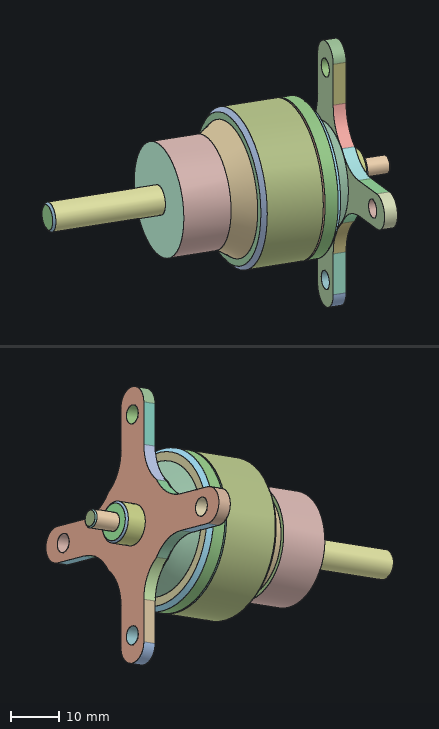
import cadquery as cq
import math


arm_count = 4
arm_reach = 29.31
arm_half_width = 3.9
arm_straight_start = 16.4
arm_flare_radius = 9.9
bracket_thickness = 3.0
mount_hole_radius = 2.0
mount_hole_offset = 23.4

boss_radius = 4.4
boss_length = 4.9
boss_chamfer = 0.45
stub_radius = 2.0
stub_length = 6.2
stub_chamfer = 0.3

shell_radius = 17.2
shell_chamfer = 1.0
cone_end_radius = 11.4
air_gap = 0.4
rear_cone_length = 4.0
rear_cone_base_radius = 14.3
rear_ring_length = 4.0
can_length = 13.8
can_cone_length = 5.0
can_cone_base_radius = 14.65

hub_radius = 12.3
hub_length = 10.8
shaft_radius = 3.2
shaft_length = 25.52
shaft_chamfer = 0.5

ring_rear_y = -rear_cone_length
ring_front_y = ring_rear_y - rear_ring_length
can_rear_y = ring_front_y - air_gap
can_front_y = can_rear_y - can_length
hub_rear_y = can_front_y - can_cone_length
hub_front_y = hub_rear_y - hub_length
shaft_tip_y = hub_front_y - shaft_length
boss_rear_y = bracket_thickness + boss_length
stub_tip_y = boss_rear_y + stub_length


def revolve_about_y(profile):
    """Turn a list of (radius, y) points, starting and ending on the axis, about the Y axis."""
    return cq.Workplane("XY").polyline(profile).close().revolve(360, (0, 0, 0), (0, 1, 0))


def turn(point, quarter_turns):
    """Rotate a flat point about the origin by whole arm steps."""
    angle = quarter_turns * 2 * math.pi / arm_count
    x, z = point
    return (
        x * math.cos(angle) - z * math.sin(angle),
        x * math.sin(angle) + z * math.cos(angle),
    )


def make_bracket():
    """Cross with round arm tips; the concave flares of neighbouring arms meet on the diagonals."""
    tip_center = arm_reach - arm_half_width
    flare_center_z = arm_half_width + arm_flare_radius

    chord_middle = (arm_straight_start + flare_center_z) / 2
    center_offset = (arm_straight_start - flare_center_z) / 2
    corner = chord_middle - math.sqrt(arm_flare_radius**2 / 2 - center_offset**2)

    flare_angle = math.asin((arm_straight_start - corner) / arm_flare_radius)
    flare_middle = (
        arm_straight_start - arm_flare_radius * math.sin(flare_angle / 2),
        flare_center_z - arm_flare_radius * math.cos(flare_angle / 2),
    )

    outline = cq.Workplane("XZ").moveTo(corner, -corner)
    for step in range(arm_count):
        outline = (
            outline
            .threePointArc(turn((flare_middle[0], -flare_middle[1]), step),
                           turn((arm_straight_start, -arm_half_width), step))
            .lineTo(*turn((tip_center, -arm_half_width), step))
            .threePointArc(turn((arm_reach, 0), step), turn((tip_center, arm_half_width), step))
            .lineTo(*turn((arm_straight_start, arm_half_width), step))
            .threePointArc(turn(flare_middle, step), turn((corner, corner), step))
        )
    plate = outline.close().extrude(-bracket_thickness)

    holes = (
        cq.Workplane("XZ")
        .polarArray(mount_hole_offset, 0, 360, arm_count)
        .circle(mount_hole_radius)
        .extrude(-bracket_thickness)
    )
    return plate.cut(holes)


def make_rear_boss():
    """Chamfered boss on the bracket's rear face, carrying the thin stub shaft."""
    return revolve_about_y([
        (0, bracket_thickness),
        (boss_radius, bracket_thickness),
        (boss_radius, boss_rear_y - boss_chamfer),
        (boss_radius - boss_chamfer, boss_rear_y),
        (stub_radius, boss_rear_y),
        (stub_radius, stub_tip_y - stub_chamfer),
        (stub_radius - stub_chamfer, stub_tip_y),
        (0, stub_tip_y),
    ])


def make_rear_housing():
    """Cone against the bracket, widening to a short chamfered ring."""
    return revolve_about_y([
        (0, 0),
        (cone_end_radius, 0),
        (rear_cone_base_radius, ring_rear_y),
        (shell_radius - shell_chamfer, ring_rear_y),
        (shell_radius, ring_rear_y - shell_chamfer),
        (shell_radius, ring_front_y),
        (0, ring_front_y),
    ])


def make_can():
    """Chamfered can with a cone narrowing toward the output hub."""
    return revolve_about_y([
        (0, can_rear_y),
        (shell_radius, can_rear_y),
        (shell_radius, can_front_y + shell_chamfer),
        (shell_radius - shell_chamfer, can_front_y),
        (can_cone_base_radius, can_front_y),
        (cone_end_radius, hub_rear_y),
        (0, hub_rear_y),
    ])


def make_output_hub():
    """Plain round hub on the can's cone, carrying the output shaft."""
    return revolve_about_y([
        (0, hub_rear_y),
        (hub_radius, hub_rear_y),
        (hub_radius, hub_front_y),
        (shaft_radius, hub_front_y),
        (shaft_radius, shaft_tip_y + shaft_chamfer),
        (shaft_radius - shaft_chamfer, shaft_tip_y),
        (0, shaft_tip_y),
    ])


bracket = make_bracket()
rear_boss = make_rear_boss()
rear_housing = make_rear_housing()
can = make_can()
output_hub = make_output_hub()

result = cq.Compound.makeCompound([
    bracket.val(),
    rear_boss.val(),
    rear_housing.val(),
    can.val(),
    output_hub.val(),
])